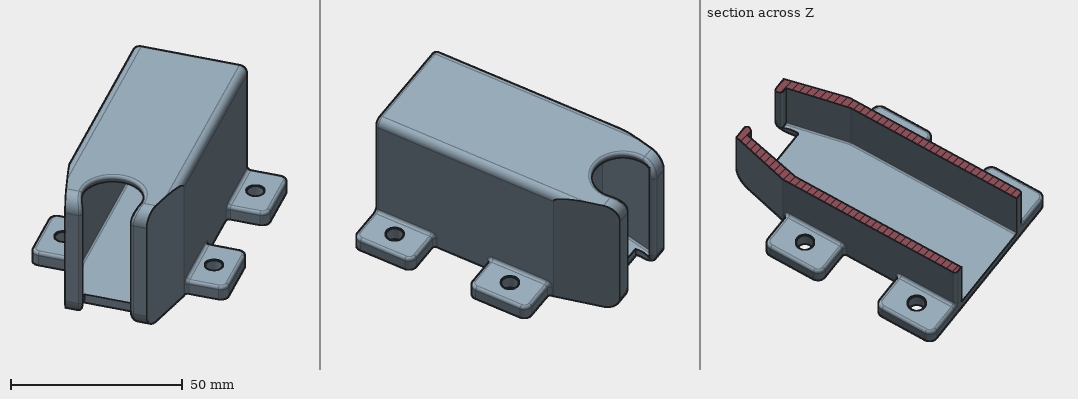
import cadquery as cq
length = 80.0
width = 35.0
height = 41.5
top_edge_radius = 2.5
front_edge_radius = 5.0
edge_radius = 1.0

taper_length = 19.6
front_width = 25.0

wall = 2.5
side_wall = 3.0
cavity_shoulder_y = 22.0
floor_thickness = 3.0
floor_edge_radius = 0.5

opening_radius = 9.0
opening_y = 6.5
floor_front_y = 7.5

overall_width = 60.0
foot_length = 20.0
foot_height = 4.6
foot_corner_radius = 2.5
foot_spacing = 39.0
back_foot_y = length - foot_length / 2
foot_centres_y = (back_foot_y - foot_spacing, back_foot_y)
hole_diameter = 5.0
hole_chamfer = 0.25
hole_x = 23.0

overcut = 1.0
margin = 0.1

half_width = width / 2
half_front = front_width / 2
half_overall = overall_width / 2


def upright_block(x_size, y_min, y_max, z_size):
    """Block standing on Z = 0 and centred on X."""
    block = cq.Workplane("XY").box(x_size, y_max - y_min, z_size, centered=(True, False, False))
    return block.translate((0, y_min, 0))


def tapered_prism(back, front, shoulder_y, y_min, y_max, z_min, z_max):
    """Upright prism with half-width back behind shoulder_y, narrowing to half-width front at y_min."""
    outline = [
        (-front, y_min),
        (front, y_min),
        (back, shoulder_y),
        (back, y_max),
        (-back, y_max),
        (-back, shoulder_y),
    ]
    return cq.Workplane("XY").workplane(offset=z_min).polyline(outline).close().extrude(z_max - z_min)


def centred_box(x_limit, y_min, y_max, z_min, z_max):
    """Selector for edges whose centre lies in a box that is symmetric about X = 0."""
    return cq.selectors.BoxSelector((-x_limit, y_min, z_min), (x_limit, y_max, z_max))


def housing_with_feet():
    """Straight housing and feet with rounded rims and blended junctions."""
    body = upright_block(width, 0, length, height).edges("|Y and >Z").fillet(top_edge_radius)
    for centre_y in foot_centres_y:
        plate = upright_block(
            overall_width, centre_y - foot_length / 2, centre_y + foot_length / 2, foot_height
        )
        body = body.union(plate.edges("|Z").fillet(foot_corner_radius))
    body = body.clean()

    foot_tops = centred_box(
        half_overall + margin, margin, length + margin, foot_height - margin, foot_height + margin
    )
    foot_ends = centred_box(half_width + margin, margin, length - margin, margin, foot_height - margin)
    back_rim = centred_box(
        half_width + margin, length - margin, length + margin, foot_height + margin, height + margin
    )
    return body.edges(foot_tops + foot_ends + back_rim).fillet(edge_radius)


def front_envelope():
    """Outer limits: tapered at the front, as wide as the feet behind it, with rounded front edges."""
    nose = tapered_prism(half_width, half_front, taper_length, 0, length, 0, height)
    nose = nose.union(upright_block(overall_width, taper_length, length, height))
    rounded = upright_block(overall_width, 0, length, height)
    return nose.intersect(rounded.edges("|X and <Y").fillet(front_edge_radius))


def cavity():
    """Inner space with tapered sides, closed at the front and open at the back."""
    space = tapered_prism(
        half_width - side_wall,
        half_front - wall,
        cavity_shoulder_y,
        wall,
        length + overcut,
        floor_thickness,
        height - wall,
    )
    floor_edges = space.faces("<Z").edges("not(|X)")
    return floor_edges.fillet(floor_edge_radius)


def opening():
    """Upright round cut, limited at floor level to the part in front of the floor edge."""
    cylinder = cq.Workplane("XY").center(0, opening_y).circle(opening_radius).extrude(height + overcut)
    floor_part = upright_block(2 * opening_radius, floor_front_y, length, floor_thickness)
    return cylinder.cut(floor_part)


def foot_holes():
    """Cutters for the screw holes through the four feet, each with a small chamfer at the top."""
    centres = [(side * hole_x, y) for side in (-1, 1) for y in foot_centres_y]
    radius = hole_diameter / 2
    drills = cq.Workplane("XY").pushPoints(centres).circle(radius).extrude(foot_height)
    cone = cq.Solid.makeCone(radius, radius + hole_chamfer, hole_chamfer)
    cone_z = foot_height - hole_chamfer
    for x, y in centres:
        drills = drills.union(cone.translate(cq.Vector(x, y, cone_z)))
    return drills


def rounded_opening(body):
    """Body with the rim of the opening rounded outside and inside the shell."""

    def rim_edges(y_min, y_max, arc_z):
        """Edges where the opening meets the front wall and the top, on one side of the shell."""
        sides = centred_box(opening_radius, y_min, y_max, floor_thickness + margin, height - wall - margin)
        arc = centred_box(margin, opening_y, length / 2, arc_z - margin, arc_z + margin)
        return body.edges(sides + arc).edges("not(|X)")

    outside = rim_edges(-margin, margin, height).fillet(edge_radius)
    inside = rim_edges(wall - margin, wall + margin, height - wall).fillet(edge_radius)
    return outside.intersect(inside)


shell = housing_with_feet().intersect(front_envelope()).cut(cavity()).cut(foot_holes())
result = rounded_opening(shell.cut(opening()))